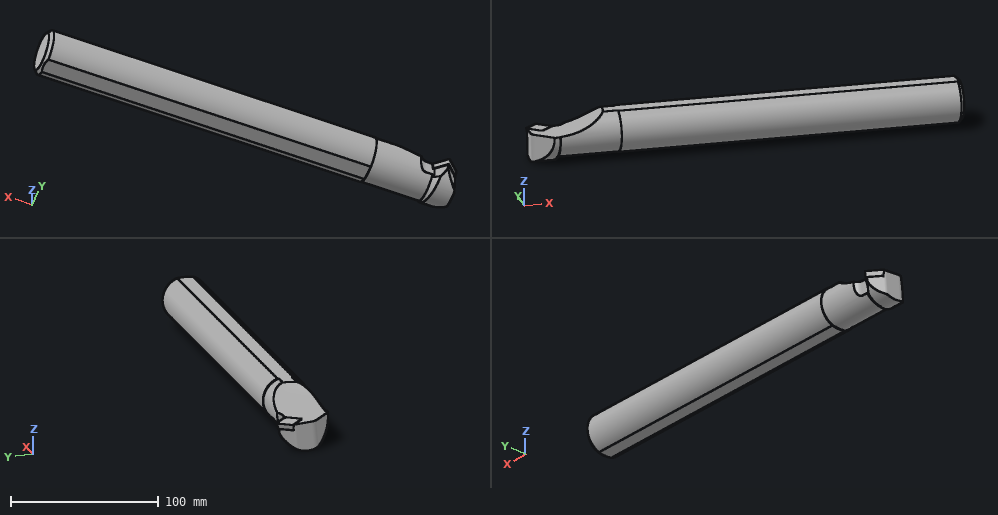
import cadquery as cq
import math

total_length = 299.7
total_width = 37.8
neck_length = 60.0
shank_radius = 32.0 / 2
neck_radius = 31.5 / 2
flat_height = 15.0
end_chamfer = 2.7

head_radius = 18.5
head_center_y = head_radius - shank_radius
head_length = 17.5
nose_corner_y = -3.0
nose_chamfer = 16.5
nose_round = 5.7

rake_angle = 5.0
tip_y = total_width - shank_radius
rake_height = tip_y * math.tan(math.radians(rake_angle))

insert_side = 13.2
insert_round = 1.0
insert_reach = insert_side / math.sqrt(2) - insert_round * (math.sqrt(2) - 1)
insert_center = (9.0, tip_y - insert_reach)
insert_thickness = 4.2
insert_relief = 11.0

support_tip_y = 20.5
support_corner_round = 2.5
clearance_y = 13.2
clearance_end = 22.2
clearance_radius = 6.0

scoop_center = (-12.0, 3.0)
scoop_floor_radius = 31.8
scoop_wall_radius = 42.5
scoop_wall_angle = 60.0

reach = 60.0

tilt = math.radians(rake_angle)
rake_plane = cq.Plane(
    origin=(0, 0, rake_height),
    xDir=(1, 0, 0),
    normal=(0, math.sin(tilt), math.cos(tilt)),
)


def make_shank():
    """Round bar with flats on top and bottom and a chamfered rear end."""
    shank = (
        cq.Workplane("YZ", origin=(neck_length, 0, 0))
        .circle(shank_radius)
        .extrude(total_length - neck_length)
        .faces(">X")
        .chamfer(end_chamfer)
    )
    flats = cq.Workplane("XY").box(2 * total_length, reach, 2 * flat_height)
    return shank.intersect(flats)


def make_neck():
    """Slightly thinner bar with a flat on top only."""
    neck = cq.Workplane("YZ").circle(neck_radius).extrude(neck_length)
    top_waste = cq.Workplane("XY", origin=(0, 0, flat_height + reach / 2)).box(
        2 * total_length, reach, reach
    )
    return neck.cut(top_waste)


def make_head():
    """Half-round underside with straight side walls up to the rake face."""
    section = (
        cq.Workplane("YZ")
        .moveTo(head_center_y - head_radius, flat_height / 2)
        .lineTo(head_center_y - head_radius, 0)
        .threePointArc((head_center_y, -head_radius), (head_center_y + head_radius, 0))
        .lineTo(head_center_y + head_radius, flat_height / 2)
        .close()
        .extrude(head_length)
    )
    bevel = (
        cq.Workplane("XY")
        .moveTo(0, 0)
        .lineTo(head_length, 0)
        .lineTo(head_length, neck_radius)
        .lineTo(0, neck_radius + head_length)
        .close()
        .revolve(360, (0, 0, 0), (1, 0, 0))
    )
    return section.intersect(bevel)


def make_rake_outline():
    """Region kept at the cutting end, extruded square to the rake face."""
    tip_x = insert_center[0]
    arc_diagonal = clearance_radius * math.sin(math.pi / 4)
    arc_middle = (
        clearance_end + arc_diagonal,
        clearance_y + clearance_radius - arc_diagonal,
    )
    arc_end = (clearance_end + clearance_radius, clearance_y + clearance_radius)
    outline = (
        cq.Workplane(rake_plane)
        .moveTo(0, nose_corner_y)
        .lineTo(0, support_tip_y - tip_x)
        .lineTo(tip_x, support_tip_y)
        .lineTo(tip_x + support_tip_y - clearance_y, clearance_y)
        .lineTo(clearance_end, clearance_y)
        .threePointArc(arc_middle, arc_end)
        .lineTo(arc_end[0], reach)
        .lineTo(2 * total_length, reach)
        .lineTo(2 * total_length, -reach)
        .lineTo(nose_chamfer, -reach)
        .lineTo(nose_chamfer, nose_corner_y - nose_chamfer)
        .close()
        .extrude(reach, both=True)
    )
    corner_rounds = (
        (nose_corner_y, nose_round),
        (support_tip_y - tip_x, support_corner_round),
    )
    for corner_y, radius in corner_rounds:
        corner = rake_plane.toWorldCoords((0, corner_y, 0)).toTuple()
        outline = outline.edges(cq.selectors.NearestToPointSelector(corner)).fillet(radius)
    return outline


def make_scoop():
    """Dish turned about the rake normal, opening upwards from the rake face."""
    profile_plane = cq.Plane(
        origin=rake_plane.toWorldCoords((*scoop_center, 0)).toTuple(),
        xDir=(1, 0, 0),
        normal=(-rake_plane.yDir).toTuple(),
    )

    def wall_point(degrees):
        angle = math.radians(degrees)
        return (
            scoop_floor_radius + scoop_wall_radius * math.sin(angle),
            scoop_wall_radius * (1 - math.cos(angle)),
        )

    wall_end = wall_point(scoop_wall_angle)
    return (
        cq.Workplane(profile_plane)
        .moveTo(0, 0)
        .lineTo(scoop_floor_radius, 0)
        .threePointArc(wall_point(scoop_wall_angle / 2), wall_end)
        .lineTo(0, wall_end[1])
        .close()
        .revolve(360, (0, 0, 0), (0, 1, 0))
    )


def make_insert():
    """Square cutting insert with rounded corners, narrowing downwards."""
    outline = cq.Sketch().rect(insert_side, insert_side, angle=45).vertices().fillet(insert_round)
    return (
        cq.Workplane(rake_plane)
        .center(*insert_center)
        .placeSketch(outline)
        .extrude(-insert_thickness, taper=insert_relief)
    )


insert = make_insert()

holder = make_shank().union(make_neck()).union(make_head())
holder = holder.intersect(make_rake_outline())
holder = holder.cut(make_scoop()).cut(insert)

result = cq.Compound.makeCompound([holder.solids().val(), insert.val()])